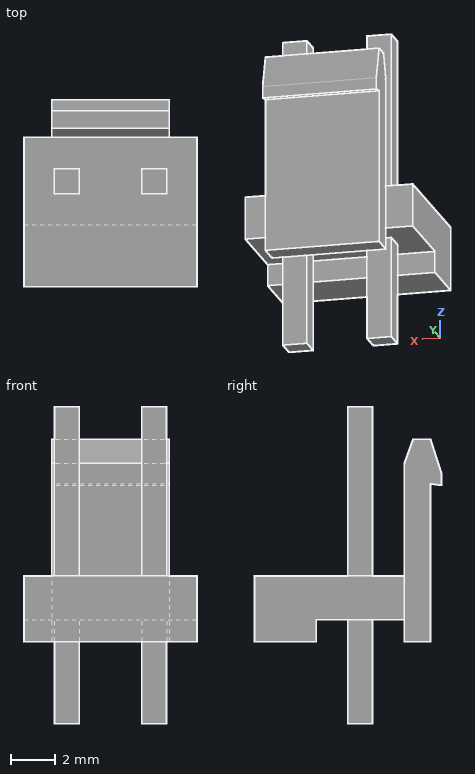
import cadquery as cq

housing_width = 7.86
housing_depth = 6.8
housing_height = 3.0
pin_to_back = 2.0
back_y = pin_to_back
front_y = back_y - housing_depth

relief_height = 1.0
foot_depth = 2.82

pin_size = 1.14
pin_pitch = 3.96
pin_length = 14.4
pin_tail = 3.72

latch_width = 5.34
latch_thickness = 1.2
latch_rise = 6.2
latch_top = housing_height + latch_rise
lead_in_width = 0.4
lead_in_height = 1.1

overall_depth = 8.5
hook_reach = overall_depth - housing_depth - latch_thickness
hook_slope_height = 1.55
hook_tip_height = 0.55
hook_undercut = 0.07
hook_tip_top = latch_top - hook_slope_height
hook_tip_bottom = hook_tip_top - hook_tip_height
hook_root_z = hook_tip_bottom + hook_undercut


def make_housing():
    """Plain block with the relief cut away behind the front foot."""
    profile = [
        (front_y, 0),
        (front_y + foot_depth, 0),
        (front_y + foot_depth, relief_height),
        (back_y, relief_height),
        (back_y, housing_height),
        (front_y, housing_height),
    ]
    return extrude_across(profile, housing_width)


def make_latch():
    """Upright wall with a tapered head and a hook facing backwards."""
    outer_y = back_y + latch_thickness
    hook_y = outer_y + hook_reach
    profile = [
        (back_y, 0),
        (outer_y, 0),
        (outer_y, hook_root_z),
        (hook_y, hook_tip_bottom),
        (hook_y, hook_tip_top),
        (outer_y, latch_top),
        (back_y + lead_in_width, latch_top),
        (back_y, latch_top - lead_in_height),
    ]
    return extrude_across(profile, latch_width)


def extrude_across(profile, width):
    """Extrude a (Y, Z) outline along X, centred on X = 0."""
    return cq.Workplane("YZ").polyline(profile).close().extrude(width / 2, both=True)


def make_pin(x):
    """Square pin passing vertically through the housing."""
    return (
        cq.Workplane("XY", origin=(x, 0, -pin_tail))
        .rect(pin_size, pin_size)
        .extrude(pin_length)
    )


result = make_housing().union(make_latch())
for pin_x in (-pin_pitch / 2, pin_pitch / 2):
    result = result.union(make_pin(pin_x))